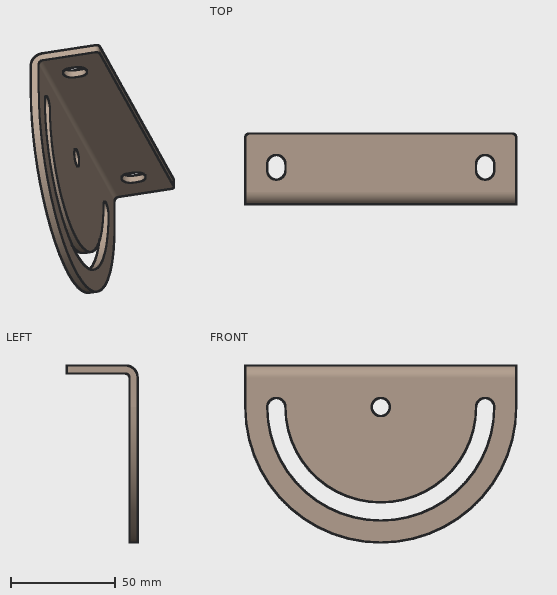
import cadquery as cq

width = 130.0
depth = 34.0
thickness = 4.0
pivot_drop = 20.0
bend_inner_radius = 2.0
bend_outer_radius = bend_inner_radius + thickness
plate_radius = width / 2
height = pivot_drop + plate_radius
flange_corner_radius = 2.0

opening_width = 8.6
slot_offset = 50.0
mount_slot_length = 11.7
mount_slot_setback = 16.2


def bent_sheet():
    """L-shaped sheet with its front face on Y = 0 and the pivot axis on Z = 0."""
    return (
        cq.Workplane("YZ")
        .rect(depth, height)
        .extrude(plate_radius, both=True)
        .translate((0, depth / 2, pivot_drop - height / 2))
        .cut(
            cq.Workplane("XY")
            .box(width, depth, height, centered=(True, False, False))
            .translate((0, thickness, pivot_drop - thickness - height))
            .edges("|X and >Z and <Y")
            .fillet(bend_inner_radius)
        )
        .edges("|X and >Z and <Y")
        .fillet(bend_outer_radius)
        .edges("|Z and >Y")
        .fillet(flange_corner_radius)
    )


def plate_outline():
    """Solid that trims the front plate to a half disc below the pivot axis."""
    return (
        cq.Workplane("XZ")
        .moveTo(-plate_radius, pivot_drop)
        .lineTo(-plate_radius, 0)
        .threePointArc((0, -plate_radius), (plate_radius, 0))
        .lineTo(plate_radius, pivot_drop)
        .close()
        .extrude(-depth)
    )


def arc_slot():
    """Half-circle slot about the pivot axis with rounded ends."""
    outer = slot_offset + opening_width / 2
    inner = slot_offset - opening_width / 2
    end_top = opening_width / 2
    return (
        cq.Workplane("XZ")
        .moveTo(-outer, 0)
        .threePointArc((0, -outer), (outer, 0))
        .threePointArc((slot_offset, end_top), (inner, 0))
        .threePointArc((0, -inner), (-inner, 0))
        .threePointArc((-slot_offset, end_top), (-outer, 0))
        .close()
        .extrude(-thickness)
    )


def pivot_hole():
    return cq.Workplane("XZ").circle(opening_width / 2).extrude(-thickness)


def mounting_slots():
    """Pair of slots through the top flange, long along Y."""
    slot_y = depth - mount_slot_setback
    return (
        cq.Workplane("XY", origin=(0, 0, pivot_drop))
        .pushPoints([(-slot_offset, slot_y), (slot_offset, slot_y)])
        .slot2D(mount_slot_length, opening_width, 90)
        .extrude(-thickness)
    )


result = (
    bent_sheet()
    .intersect(plate_outline())
    .cut(arc_slot())
    .cut(pivot_hole())
    .cut(mounting_slots())
)